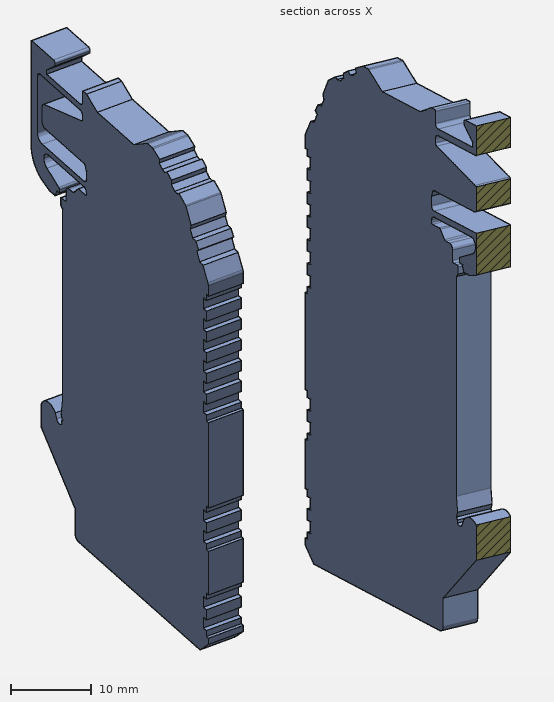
import cadquery as cq
import math


width = 40.52
thickness = 5.18
height = 69.53

back_x = 7.14
base_x = 10.07
base_radius = 0.75
deck_z = 67.5
front_chamfer_x = 1.9
front_chamfer_z = 1.95
rear_peak_z = 68.8
shoulder_x = 6.75
shoulder_z = 49.75
stair_x = 8.0
stair_z = 52.1
clip_root_x = 11.75
mouth_root_x = 12.62

spine_thickness = 1.47
upper_beam_top = 66.45
upper_beam_bottom = 65.55
lower_beam_top = 55.28
lower_beam_bottom = 54.45
beam_root_radius = 0.55
spine_upper_radius = 0.6
spine_lower_radius = 1.1
jaw_inner_x = 2.95
jaw_mouth_x = 4.2
clip_bottom = 49.2

tongue_x = 2.53
tongue_top = 61.4
tongue_root_top = 64.15
tongue_bottom = 57.99
tongue_root_x = 12.3

foot_x = 2.32
foot_bottom = 12.33
foot_side_top = 15.85
foot_tip_z = 17.08
valley_front_x = 6.93
valley_floor_z = 15.27
valley_side_z = 15.5

step_depth = 0.45
groove_depth = 1.12
step_height = 0.9
groove_height = 1.6
tooth_height = 1.54
tooth_pitch = groove_height + tooth_height
upper_band_top = 54.57
middle_band_top = 22.55
lower_band_top = 9.42


def corner_arc(before, corner, after):
    """Start, middle and end of the arc that rounds a corner given as (x, z, radius)."""
    x, z, radius = corner
    back_angle = math.atan2(before[1] - z, before[0] - x)
    next_angle = math.atan2(after[1] - z, after[0] - x)
    half_angle = abs(math.remainder(next_angle - back_angle, 2 * math.pi)) / 2
    tangent_length = radius / math.tan(half_angle)
    apex_distance = radius / math.sin(half_angle) - radius
    middle_angle = back_angle + math.remainder(next_angle - back_angle, 2 * math.pi) / 2

    def offset(angle, distance):
        return (x + distance * math.cos(angle), z + distance * math.sin(angle))

    return (
        offset(back_angle, tangent_length),
        offset(middle_angle, apex_distance),
        offset(next_angle, tangent_length),
    )


def plate(corners):
    """Full-thickness plate with the given corners: (x, z), or (x, z, radius) if rounded."""
    start = corners[0]
    outline = cq.Workplane("XZ").moveTo(start[0], start[1])
    for before, corner, after in zip(corners, corners[1:], corners[2:] + [start]):
        if len(corner) == 3:
            arc_start, arc_middle, arc_end = corner_arc(before, corner, after)
            outline = outline.lineTo(*arc_start).threePointArc(arc_middle, arc_end)
        else:
            outline = outline.lineTo(*corner)
    return outline.close().extrude(-thickness)


def main_body():
    base = [
        (width - front_chamfer_x, 0),
        (base_x, 0, base_radius),
        (base_x, foot_bottom),
    ]
    back = [
        (valley_front_x, foot_bottom),
        (valley_front_x, 15.9),
        (back_x, 16.25),
        (6.88, 16.95),
        (back_x, 19.0),
    ]
    shoulder = [
        (back_x, 48.15),
        (shoulder_x, 48.6),
        (shoulder_x, shoulder_z, 0.2),
        (stair_x, shoulder_z, 0.25),
        (stair_x, stair_z, 0.7),
        (9.65, stair_z, 0.4),
        (10.8, 53.4, 0.3),
        (mouth_root_x, 53.4, 0.15),
    ]
    clip_roots = [
        (mouth_root_x, 57.1),
        (tongue_root_x, tongue_bottom, 0.4),
        (clip_root_x, tongue_bottom),
    ]
    rear_peak = [
        (clip_root_x, rear_peak_z, 0.2),
        (12.7, rear_peak_z),
        (15.15, deck_z),
    ]
    front_peak = [
        (23.5, deck_z),
        (26.6, height, 0.4),
        (27.8, height, 0.5),
        (29.4, 68.75),
        (29.3, 68.15),
        (30.0, 67.6),
        (30.6, 67.45),
        (31.05, 67.85),
        (32.1, 67.2),
        (32.05, 66.55),
        (32.85, 65.95),
        (33.5, 65.95),
        (33.8, 66.2),
        (35.4, 65.25, 0.3),
        (36.6, 63.0),
        (36.4, 62.35),
        (36.95, 61.3),
        (37.7, 61.25),
        (38.3, 60.3),
        (37.9, 59.9),
        (38.55, 58.65),
        (39.3, 58.55),
        (width, 56.4, 0.8),
    ]
    front = [(width, front_chamfer_z)]
    return plate(base + back + shoulder + clip_roots + rear_peak + front_peak + front)


def foot_hook():
    """Hook with a domed tip and a small round valley between it and the body."""
    slope_end = (base_x, 4.55)
    return (
        cq.Workplane("XZ")
        .moveTo(*slope_end)
        .lineTo(foot_x, foot_bottom)
        .lineTo(foot_x, foot_side_top)
        .threePointArc((4.05, foot_tip_z), (5.55, 16.4))
        .lineTo(5.85, 15.7)
        .threePointArc((6.4, valley_floor_z), (valley_front_x, valley_side_z))
        .lineTo(base_x, valley_side_z)
        .close()
        .extrude(-thickness)
    )


def clip_spine():
    """Back of the clip with the barbed upper jaw and the curled lower jaw."""
    upper_jaw = [
        (0, upper_beam_bottom),
        (0, height, 0.2),
        (5.5, height, 0.35),
        (5.5, 68.85),
        (3.58, 67.1),
        (3.58, upper_beam_top),
        (spine_thickness, upper_beam_top),
    ]
    lower_jaw = [
        (spine_thickness, lower_beam_top),
        (jaw_mouth_x, lower_beam_top),
        (jaw_mouth_x, lower_beam_bottom),
        (jaw_inner_x, lower_beam_bottom, 1.0),
        (jaw_inner_x, 52.6, 1.2),
        (6.5, 50.9, 0.3),
        (6.5, 50.2),
        (5.9, 50.15),
        (5.5, clip_bottom),
        (4.2, clip_bottom),
        (0, 50.65, 4.1),
    ]
    return plate(upper_jaw + lower_jaw)


def clip_beams():
    upper_root = clip_root_x + beam_root_radius
    lower_root = mouth_root_x + beam_root_radius
    upper = plate([
        (0, upper_beam_bottom),
        (upper_root, upper_beam_bottom),
        (upper_root, upper_beam_top),
        (0, upper_beam_top),
    ])
    lower = plate([
        (spine_thickness, lower_beam_bottom),
        (lower_root, lower_beam_bottom),
        (lower_root, lower_beam_top),
        (spine_thickness, lower_beam_top),
    ])
    return upper.union(lower)


def tongue():
    root_fillet_top = tongue_root_top + beam_root_radius
    return plate([
        (tongue_root_x, tongue_bottom),
        (tongue_root_x, root_fillet_top),
        (clip_root_x, root_fillet_top),
        (clip_root_x, tongue_root_top, 0.35),
        (tongue_x, tongue_top, 0.7),
        (tongue_x, tongue_bottom, 0.7),
    ])


def corner_fillet(x, z, side, vertical, radius):
    """Fillet that fills the inside corner at (x, z).

    side is +1 when the open space lies towards +X, -1 towards -X;
    vertical is +1 when the open space lies above, -1 below.
    """
    bulge = radius * (1 - math.sqrt(0.5))
    return (
        cq.Workplane("XZ")
        .moveTo(x, z)
        .lineTo(x + side * radius, z)
        .threePointArc((x + side * bulge, z + vertical * bulge), (x, z + vertical * radius))
        .close()
        .extrude(-thickness)
    )


def front_cut(top, bottom, depth):
    """Straight notch of the given depth in the front edge."""
    return plate([
        (width - depth, bottom),
        (width, bottom),
        (width, top),
        (width - depth, top),
    ])


def grip_band(top, tooth_count):
    """Material removed for one stepped band of grooves and teeth."""
    groove_top = top - step_height
    last_groove_bottom = groove_top - tooth_count * tooth_pitch - groove_height
    band = front_cut(top, last_groove_bottom - step_height, step_depth)
    for i in range(tooth_count + 1):
        z = groove_top - i * tooth_pitch
        band = band.union(front_cut(z, z - groove_height, groove_depth))
    return band


result = main_body()
for piece in (foot_hook(), clip_spine(), clip_beams(), tongue()):
    result = result.union(piece)

for corner_x, corner_z, open_side, open_vertical, fillet_radius in (
    (clip_root_x, upper_beam_top, -1, 1, beam_root_radius),
    (clip_root_x, upper_beam_bottom, -1, -1, beam_root_radius),
    (mouth_root_x, lower_beam_top, -1, 1, beam_root_radius),
    (mouth_root_x, lower_beam_bottom, -1, -1, beam_root_radius),
    (spine_thickness, upper_beam_bottom, 1, -1, spine_upper_radius),
    (spine_thickness, lower_beam_top, 1, 1, spine_lower_radius),
):
    result = result.union(corner_fillet(corner_x, corner_z, open_side, open_vertical, fillet_radius))

for band_top, teeth in ((upper_band_top, 5), (middle_band_top, 1), (lower_band_top, 1)):
    result = result.cut(grip_band(band_top, teeth))